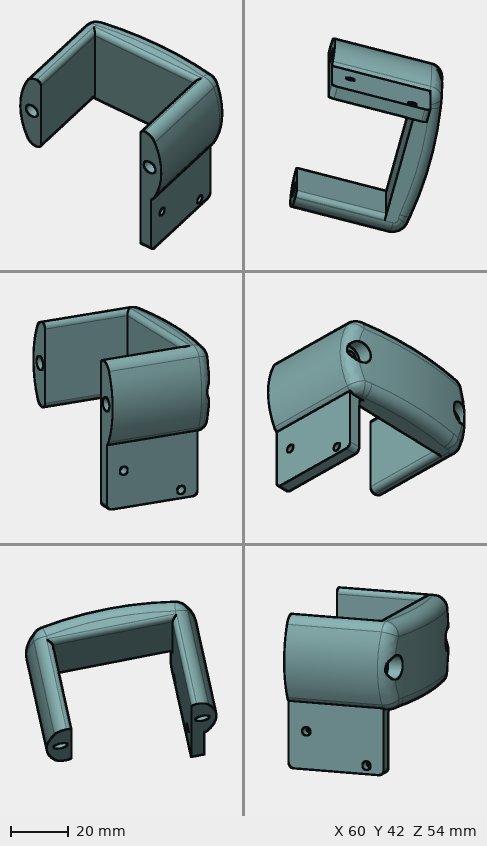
import cadquery as cq
import math

width = 60.0
depth = 42.0
body_height = 31.0
total_height = 54.0
side_radius = width / 2
back_radius = 132.0
edge_round = 5.0
lower_round = 4.0

opening_width = 42.25
opening_depth = 32.0
rim_round = 2.0

flange_depth = 35.2
flange_corner = 2.0
flange_hole = 3.0
flange_hole_places = [(6.55, -25.0), (28.8, -35.45)]

screw_hole = 5.0
screw_head = 8.5
screw_inset = 5.0
head_depth = 7.0

half_height = body_height / 2
screw_offset = side_radius - screw_inset
half_opening = opening_width / 2
flange_outer = math.sqrt(side_radius**2 - half_height**2)
flange_bottom = half_height - total_height


def box(x_range, y_range, z_range):
    """Axis-aligned box between pairs of limits."""
    corner = (x_range[0], y_range[0], z_range[0])
    size = (x_range[1] - x_range[0], y_range[1] - y_range[0], z_range[1] - z_range[0])
    return cq.Workplane("XY").box(*size, centered=False).translate(corner)


def rod(diameter, x, y_start, y_end):
    """Cylinder along +Y on the mid-height plane."""
    rod_start = cq.Vector(x, y_start, 0)
    return cq.Solid.makeCylinder(diameter / 2, y_end - y_start, rod_start, cq.Vector(0, 1, 0))


def make_body():
    """Crowned block with every edge rounded except around its front."""
    block = box((-side_radius, side_radius), (0, depth), (-half_height, half_height))
    flanks = cq.Workplane(rod(width, 0, 0, depth))
    crown = cq.Workplane("XY").center(0, depth - back_radius).circle(back_radius)
    crown = crown.extrude(body_height).translate((0, 0, -half_height))
    block = block.intersect(flanks).intersect(crown)
    margin = 0.05
    limit = (width, 2 * depth, half_height + margin)
    above_underside = cq.selectors.BoxSelector((-width, margin, -half_height + margin), limit)
    behind_front = cq.selectors.BoxSelector((-width, margin, -half_height - margin), limit)
    block = block.edges(above_underside).fillet(edge_round)
    return block.faces("<Z").edges(behind_front).fillet(lower_round)


def make_frame():
    """Oversized U with the opening, its upper rim and its left lower rim rounded."""
    outer = box((-width, width), (0, 2 * depth), (-half_height, half_height))
    slot = box((-half_opening, half_opening), (0, opening_depth), (-half_height, half_height))
    frame = outer.cut(slot)
    back_rim = cq.NearestToPointSelector((0, opening_depth, half_height))
    left_rim = cq.NearestToPointSelector((-half_opening, opening_depth / 2, half_height))
    right_rim = cq.NearestToPointSelector((half_opening, opening_depth / 2, half_height))
    left_lower_rim = cq.NearestToPointSelector((-half_opening, opening_depth / 2, -half_height))
    rims = frame.edges(back_rim).add(frame.edges(left_rim)).add(frame.edges(right_rim))
    return rims.add(frame.edges(left_lower_rim)).fillet(rim_round)


def make_flange():
    """Plate flush with the right leg's inner face, with two cross holes."""
    plate = box((half_opening, flange_outer), (0, flange_depth), (flange_bottom, 0))
    plate = plate.edges("|X and <Z").fillet(flange_corner)
    holes = cq.Workplane("YZ").pushPoints(flange_hole_places).circle(flange_hole / 2).extrude(width)
    return plate.cut(holes)


def make_web():
    """Concave fillet between the flange and the underside of the back wall."""
    inner_x = half_opening - rim_round
    lower_z = -half_height - rim_round
    web = box((inner_x, half_opening), (opening_depth, flange_depth), (lower_z, -half_height))
    hollow = cq.Solid.makeCylinder(
        rim_round, depth, cq.Vector(inner_x, 0, lower_z), cq.Vector(0, 1, 0))
    return web.cut(cq.Workplane(hollow))


result = make_body().intersect(make_frame()).union(make_flange()).union(make_web())
for screw_x in (-screw_offset, screw_offset):
    result = result.cut(cq.Workplane(rod(screw_hole, screw_x, -depth, 2 * depth)))
    result = result.cut(cq.Workplane(rod(screw_head, screw_x, depth - head_depth, 2 * depth)))